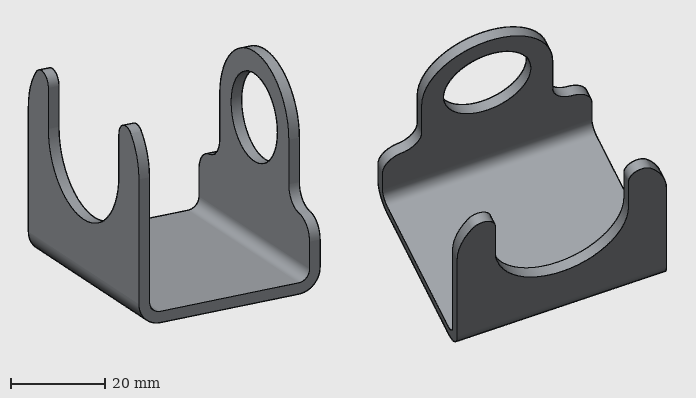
import cadquery as cq
import math

width = 48.0
depth = 44.0
thickness = 2.6
inner_bend_radius = 2.6
outer_bend_radius = inner_bend_radius + thickness
half_width = width / 2

axis_height = 31.5
eye_radius = 15.01
eye_hole_radius = 10.0
total_height = axis_height + eye_radius

shoulder_radius = 5.0
shoulder_start_height = 11.4

slot_radius = 15.25
prong_height = 43.85
prong_tip_radius = 3.0
prong_side_radius = 14.0


def mirrored(point):
    """Reflect an (x, z) point about the YZ plane."""
    return (-point[0], point[1])


def point_on_arc(center, radius, angle):
    """Return the (x, z) point at an angle in radians on a circle."""
    return (center[0] + radius * math.cos(angle), center[1] + radius * math.sin(angle))


def make_channel():
    """U-shaped bent sheet with both walls at full height, centred on X and Y."""
    outer = (
        cq.Workplane("XY")
        .box(width, depth, total_height, centered=(True, True, False))
        .edges("|X and <Z")
        .fillet(outer_bend_radius)
    )
    inner = (
        cq.Workplane("XY")
        .workplane(offset=thickness)
        .box(width, depth - 2 * thickness, total_height, centered=(True, True, False))
        .edges("|X and <Z")
        .fillet(inner_bend_radius)
    )
    return outer.cut(inner)


def make_back_outline():
    """Eye plate outline, extruded through the rear half of the channel."""
    side_center = (half_width - shoulder_radius, shoulder_start_height)
    neck_center_x = eye_radius + shoulder_radius
    rise = math.sqrt((2 * shoulder_radius) ** 2 - (neck_center_x - side_center[0]) ** 2)
    neck_center = (neck_center_x, shoulder_start_height + rise)
    joint_angle = math.atan2(rise, neck_center_x - side_center[0])

    side_end = (half_width, shoulder_start_height)
    side_mid = point_on_arc(side_center, shoulder_radius, joint_angle / 2)
    joint = point_on_arc(side_center, shoulder_radius, joint_angle)
    neck_mid = point_on_arc(neck_center, shoulder_radius, math.pi + joint_angle / 2)
    neck_end = (eye_radius, neck_center[1])

    outline = (
        cq.Workplane("XZ")
        .moveTo(-half_width, 0)
        .lineTo(half_width, 0)
        .lineTo(*side_end)
        .threePointArc(side_mid, joint)
        .threePointArc(neck_mid, neck_end)
        .lineTo(eye_radius, axis_height)
        .threePointArc((0, total_height), (-eye_radius, axis_height))
        .lineTo(*mirrored(neck_end))
        .threePointArc(mirrored(neck_mid), mirrored(joint))
        .threePointArc(mirrored(side_mid), mirrored(side_end))
        .close()
        .extrude(-depth / 2)
    )
    hole = cq.Workplane("XZ").center(0, axis_height).circle(eye_hole_radius).extrude(-depth / 2)
    return outline.cut(hole)


def make_front_outline():
    """Fork outline, extruded through the front half of the channel."""
    tip_center = (slot_radius + prong_tip_radius, prong_height - prong_tip_radius)
    side_center_x = half_width - prong_side_radius
    center_distance = prong_side_radius - prong_tip_radius
    joint_angle = math.acos((tip_center[0] - side_center_x) / center_distance)
    side_center = (side_center_x, tip_center[1] - center_distance * math.sin(joint_angle))

    side_end = (half_width, side_center[1])
    side_mid = point_on_arc(side_center, prong_side_radius, joint_angle / 2)
    joint = point_on_arc(tip_center, prong_tip_radius, joint_angle)
    tip_mid = point_on_arc(tip_center, prong_tip_radius, (joint_angle + math.pi) / 2)
    tip_end = (slot_radius, tip_center[1])

    return (
        cq.Workplane("XZ")
        .moveTo(-half_width, 0)
        .lineTo(half_width, 0)
        .lineTo(*side_end)
        .threePointArc(side_mid, joint)
        .threePointArc(tip_mid, tip_end)
        .lineTo(slot_radius, axis_height)
        .threePointArc((0, axis_height - slot_radius), (-slot_radius, axis_height))
        .lineTo(*mirrored(tip_end))
        .threePointArc(mirrored(tip_mid), mirrored(joint))
        .threePointArc(mirrored(side_mid), mirrored(side_end))
        .close()
        .extrude(depth / 2)
    )


wall_outlines = make_back_outline().union(make_front_outline())
result = make_channel().intersect(wall_outlines).clean()